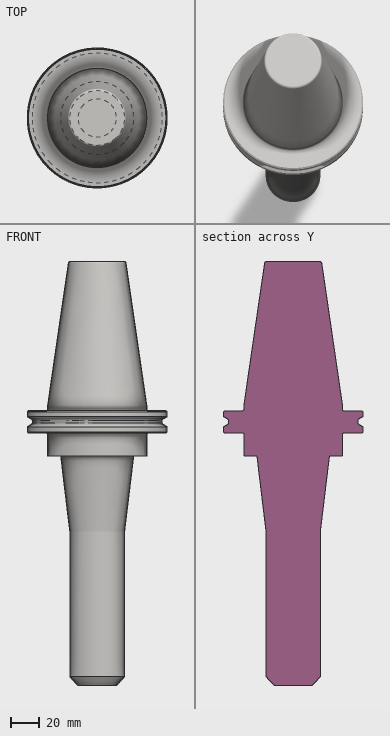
import cadquery as cq
import math

total_length = 298.5
taper_length = 101.8
flange_top = -3.3
flange_thickness = 15.8
collar_bottom = -35.2
neck_bottom = -88.3
flange_bottom = flange_top - flange_thickness
shank_bottom = taper_length - total_length

gauge_diameter = 69.8
flange_diameter = 98.5
groove_diameter = 91.3
neck_diameter = 51.3
shank_diameter = 38.5
tip_diameter = 27.0

taper_ratio = 7 / 24
taper_end_diameter = gauge_diameter - taper_length * taper_ratio

taper_end_radius = 1.5
flange_root_radius = 1.0
flange_chamfer = 1.0
tip_chamfer_height = 6.3

groove_center = -11.0
groove_floor_width = 3.0
groove_corner_radius = 1.0
groove_flank_angle = 30.0


def make_body():
    """Revolve the stepped outline of the holder, without the flange."""
    outline = [
        (0, taper_length),
        (taper_end_diameter / 2, taper_length),
        (gauge_diameter / 2, 0),
        (gauge_diameter / 2, collar_bottom),
        (neck_diameter / 2, collar_bottom),
        (shank_diameter / 2, neck_bottom),
        (shank_diameter / 2, shank_bottom + tip_chamfer_height),
        (tip_diameter / 2, shank_bottom),
        (0, shank_bottom),
    ]
    body = cq.Workplane("XZ").polyline(outline).close().revolve(360, (0, 0), (0, 1))
    return body.faces(">Z").edges().fillet(taper_end_radius)


def make_flange():
    """Disc with broken outer edges."""
    disc = cq.Workplane("XY", origin=(0, 0, flange_bottom)).circle(flange_diameter / 2)
    return disc.extrude(flange_thickness).edges().chamfer(flange_chamfer)


def make_groove():
    """Ring-shaped cutter for the gripper groove."""
    floor_radius = groove_diameter / 2
    rim_radius = flange_diameter / 2
    half_floor = groove_floor_width / 2
    half_mouth = half_floor + (rim_radius - floor_radius) * math.tan(math.radians(groove_flank_angle))
    section = [
        (floor_radius, groove_center - half_floor),
        (rim_radius, groove_center - half_mouth),
        (rim_radius, groove_center + half_mouth),
        (floor_radius, groove_center + half_floor),
    ]
    ring = cq.Workplane("XZ").polyline(section).close().revolve(360, (0, 0), (0, 1))
    floor_corners = ring.edges(cq.selectors.RadiusNthSelector(0))
    return floor_corners.fillet(groove_corner_radius)


def make_root_fillet(flange_face, direction):
    """Concave ring where the body meets a flange face; direction is +1 above the flange, -1 below."""
    radius = flange_root_radius
    wall = gauge_diameter / 2
    arc_offset = radius * (1 - math.sqrt(0.5))
    section = (
        cq.Workplane("XZ")
        .moveTo(wall - radius, flange_face)
        .lineTo(wall + radius, flange_face)
        .threePointArc(
            (wall + arc_offset, flange_face + direction * arc_offset),
            (wall, flange_face + direction * radius),
        )
        .lineTo(wall - radius, flange_face + direction * radius)
        .close()
    )
    return section.revolve(360, (0, 0), (0, 1))


result = (
    make_body()
    .union(make_flange())
    .union(make_root_fillet(flange_top, 1))
    .union(make_root_fillet(flange_bottom, -1))
    .cut(make_groove())
)